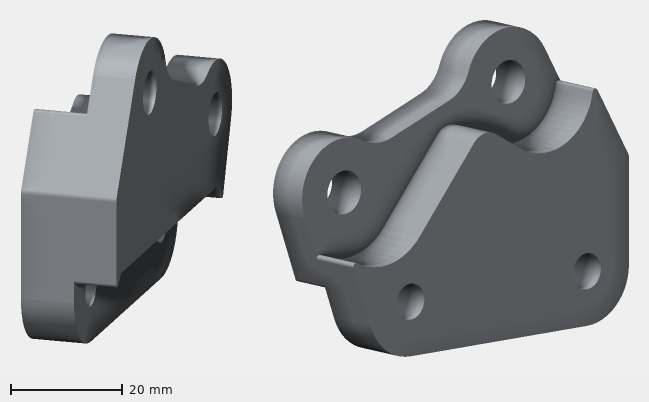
import cadquery as cq
import math

front_depth = 10.0
total_depth = 18.0

boss_radius = 10.0
length = 69.1
height = 54.5
far_lug = (length - boss_radius, 29.45)
near_lug = (20.0, height - boss_radius)
near_foot = (boss_radius, boss_radius)
far_foot = (52.0, boss_radius)
lug_hole_radius = 4.0
foot_hole_radius = 3.3

slant_angle = 30.0
saddle_angle = -20.0
saddle_point = (41.25, 40.35)
far_saddle_round = 8.3
near_saddle_round = 7.6
near_corner_round = 1.4

far_lug_clearance = 12.1
near_lug_clearance = 11.5
ridge_far_angle = -50.0
ridge_near_angle = 30.0
ridge_round = 4.15
tip_round = 0.6

arch_top = 15.55
near_tip_height = 12.65
far_tip_height = 12.0
flank_angle = 45.0


def polar(center, radius, angle):
    """Point on a circle at an angle in degrees from +Y toward +Z."""
    turn = math.radians(angle)
    return (center[0] + radius * math.cos(turn), center[1] + radius * math.sin(turn))


def intersect(point_a, angle_a, point_b, angle_b):
    """Crossing of two lines, each given by a point and a direction."""
    ay, az = polar((0, 0), 1, angle_a)
    by, bz = polar((0, 0), 1, angle_b)
    dy = point_b[0] - point_a[0]
    dz = point_b[1] - point_a[1]
    reach = (dy * bz - dz * by) / (ay * bz - az * by)
    return polar(point_a, reach, angle_a)


def line_circle_crossing(point, angle, center, radius, side):
    """Crossing of a line and a circle, on the chosen side along the line."""
    foot = intersect(point, angle, center, angle + 90)
    half_chord = math.sqrt(radius**2 - math.dist(foot, center) ** 2)
    return polar(foot, side * half_chord, angle)


def prism(points, start, end):
    plane = cq.Workplane("YZ", origin=(start, 0, 0))
    return plane.polyline(points).close().extrude(end - start)


def cylinder(center, radius, start, end):
    plane = cq.Workplane("YZ", origin=(start, 0, 0))
    return plane.center(*center).circle(radius).extrude(end - start)


def round_edge(body, point, start, end, radius):
    """Round the X-parallel edge nearest to a YZ point in a depth range."""
    middle = ((start + end) / 2, *point)
    return body.edges("|X").edges(cq.NearestToPointSelector(middle)).fillet(radius)


far_edge_angle = math.degrees(math.atan2(far_lug[1] - far_foot[1], far_lug[0] - far_foot[0]))
far_edge_point = polar(far_lug, boss_radius, far_edge_angle - 90)
slant_tangent = polar(near_lug, boss_radius, 180 - slant_angle)
near_corner = intersect(slant_tangent, 90 - slant_angle, (0, 0), 90)
far_saddle = line_circle_crossing(saddle_point, saddle_angle, far_lug, boss_radius, -1)
near_saddle = line_circle_crossing(saddle_point, saddle_angle, near_lug, boss_radius, 1)
outline = [
    (0, near_foot[1]),
    near_corner,
    slant_tangent,
    near_lug,
    near_saddle,
    far_saddle,
    far_lug,
    far_edge_point,
    polar(far_foot, boss_radius, far_edge_angle - 90),
    far_foot,
    (far_foot[0], 0),
    (near_foot[0], 0),
    near_foot,
]
result = prism(outline, 0, total_depth)
for boss in (far_lug, near_lug, near_foot, far_foot):
    result = result.union(cylinder(boss, boss_radius, 0, total_depth))
result = result.clean()
for corner, radius in (
    (near_corner, near_corner_round),
    (far_saddle, far_saddle_round),
    (near_saddle, near_saddle_round),
):
    result = round_edge(result, corner, 0, total_depth, radius)

far_tangent = polar(far_lug, far_lug_clearance, ridge_far_angle - 90)
near_tangent = polar(near_lug, near_lug_clearance, ridge_near_angle - 90)
ridge = intersect(far_tangent, ridge_far_angle, near_tangent, ridge_near_angle)
lug_clearance = prism(
    [far_tangent, ridge, near_tangent, near_lug, (near_lug[0], height), (far_lug[0], height), far_lug],
    0,
    front_depth,
)
lug_clearance = lug_clearance.union(cylinder(far_lug, far_lug_clearance, 0, front_depth))
lug_clearance = lug_clearance.union(cylinder(near_lug, near_lug_clearance, 0, front_depth))
result = result.cut(lug_clearance)

near_foot_tip = (0, near_tip_height)
far_foot_tip = intersect(far_edge_point, far_edge_angle, (0, far_tip_height), 0)
foot_clearance = prism(
    [
        (0, 0),
        near_foot_tip,
        intersect(near_foot_tip, flank_angle, (0, arch_top), 0),
        intersect(far_foot_tip, 180 - flank_angle, (0, arch_top), 0),
        far_foot_tip,
        (far_foot_tip[0], 0),
    ],
    front_depth,
    total_depth,
)
result = result.cut(foot_clearance)

far_lug_tip = line_circle_crossing(far_edge_point, far_edge_angle, far_lug, far_lug_clearance, -1)
near_lug_tip = line_circle_crossing(slant_tangent, 90 - slant_angle, near_lug, near_lug_clearance, -1)
result = round_edge(result, ridge, 0, front_depth, ridge_round)
for tip in (far_lug_tip, near_lug_tip):
    result = round_edge(result, tip, 0, front_depth, tip_round)
for tip in (near_foot_tip, far_foot_tip):
    result = round_edge(result, tip, front_depth, total_depth, tip_round)

for center in (far_lug, near_lug):
    result = result.cut(cylinder(center, lug_hole_radius, 0, total_depth))
for center in (near_foot, far_foot):
    result = result.cut(cylinder(center, foot_hole_radius, 0, total_depth))